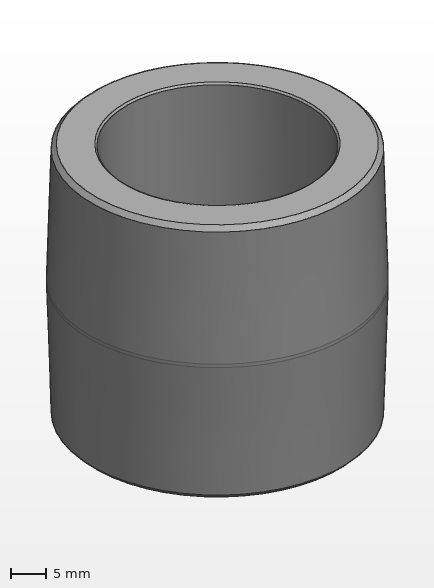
import cadquery as cq

length = 44.45
pipe_outer_diameter = 48.26
bore_diameter = 33.99
band_width = 0.56
taper_per_side = 1 / 32
outer_chamfer = 0.75
bore_chamfer = 0.3

half_length = length / 2
half_band = band_width / 2
band_radius = pipe_outer_diameter / 2
bore_radius = bore_diameter / 2

taper_end_z = half_length - outer_chamfer
taper_end_radius = band_radius - (taper_end_z - half_band) * taper_per_side
face_outer_radius = taper_end_radius - outer_chamfer
face_inner_radius = bore_radius + bore_chamfer
bore_end_z = half_length - bore_chamfer


def wall_profile():
    """Closed section of the wall; local x is the radius, local y is the height."""
    return (
        cq.Workplane("XZ")
        .moveTo(bore_radius, -bore_end_z)
        .lineTo(face_inner_radius, -half_length)
        .lineTo(face_outer_radius, -half_length)
        .lineTo(taper_end_radius, -taper_end_z)
        .lineTo(band_radius, -half_band)
        .lineTo(band_radius, half_band)
        .lineTo(taper_end_radius, taper_end_z)
        .lineTo(face_outer_radius, half_length)
        .lineTo(face_inner_radius, half_length)
        .lineTo(bore_radius, bore_end_z)
        .close()
    )


axis_start = (0, 0)
axis_end = (0, 1)
result = wall_profile().revolve(axisStart=axis_start, axisEnd=axis_end)